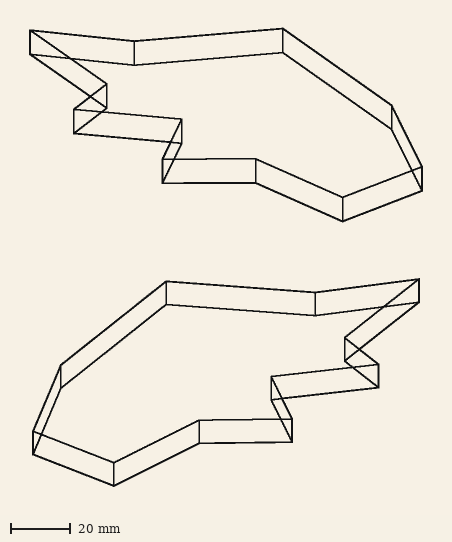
import cadquery as cq

length = 153.5
width = 85.6
thickness = 10.0

lower_corner_y = 10.5

outline = [
    (0, 43.1),
    (33.6, 54.8),
    (73.5, width),
    (127.0, 64.9),
    (length, 39.0),
    (138.9, lower_corner_y),
    (102.5, 15.5),
    (75.3, 0),
    (69.7, 23.3),
    (35.3, lower_corner_y),
    (37.8, 28.7),
]

result = cq.Workplane("XY").polyline(outline).close().extrude(thickness)